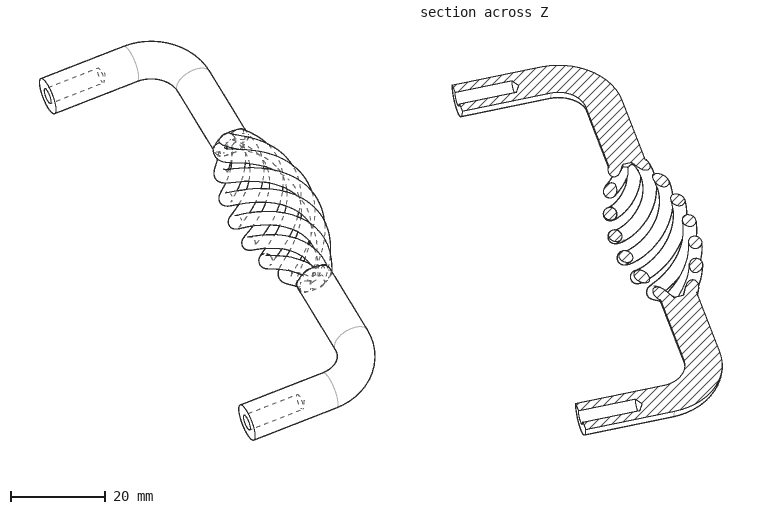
import cadquery as cq
import math

overall_length = 104.0
bar_diameter = 8.0
bar_radius = bar_diameter / 2
half_span = overall_length / 2 - bar_radius
bend_radius = 10.0

cage_length = 39.9
cage_radius = 9.6
wire_radius = 1.5
wire_count = 6
twist_lead = 38.5
twist_offset = -0.5
wire_overrun = 1.6
spline_spans = 12

overall_depth = 39.0
leg_end = cage_radius - overall_depth

hole_diameter = 3.3
hole_depth = 12.5
drill_tip_angle = 118.0


def screw_hole():
    """Blind drilled hole along +Y with a conical bottom."""
    hole_radius = hole_diameter / 2
    tip_length = hole_radius / math.tan(math.radians(drill_tip_angle / 2))
    return (
        cq.Workplane("XY")
        .lineTo(hole_radius, 0)
        .lineTo(hole_radius, hole_depth)
        .lineTo(0, hole_depth + tip_length)
        .close()
        .revolve(360, (0, 0, 0), (0, 1, 0))
    )


def bar_half(side):
    """Sweep one half of the bar, from its leg end to the edge of the cage."""
    corner_y = -bend_radius
    bend_x = half_span - bend_radius
    middle = bend_radius * math.sqrt(0.5)
    path = (
        cq.Workplane("XY")
        .moveTo(side * half_span, leg_end)
        .lineTo(side * half_span, corner_y)
        .threePointArc((side * (bend_x + middle), corner_y + middle), (side * bend_x, 0))
        .lineTo(side * cage_length / 2, 0)
    )
    bar = cq.Workplane("XZ", origin=(side * half_span, leg_end, 0)).circle(bar_radius).sweep(path)
    return bar.cut(screw_hole().translate((side * half_span, leg_end, 0)))


def wire_point(x):
    """Point on a wire's centre line: a helix whose radius bulges as a parabola."""
    end_radius = bar_radius - wire_radius
    bulge = cage_radius - bar_radius
    radius = end_radius + bulge * (1 - (2 * x / cage_length) ** 2)
    angle = -2 * math.pi * (x - twist_offset) / twist_lead
    return cq.Vector(x, radius * math.cos(angle), radius * math.sin(angle))


def cage_wire():
    """Sweep a round wire along its bulging helix."""
    reach = cage_length / 2 + wire_overrun
    step = 2 * reach / spline_spans
    points = [wire_point(-reach + i * step) for i in range(spline_spans + 1)]
    centre_line = cq.Edge.makeSpline(points)
    start = cq.Plane(origin=points[0], normal=centre_line.tangentAt(0))
    return cq.Workplane(start).circle(wire_radius).sweep(cq.Workplane(obj=centre_line), isFrenet=True)


def cage():
    """Join evenly spaced copies of the wire and trim them flat at the cage ends."""
    wire = cage_wire()
    wires = wire
    for i in range(1, wire_count):
        turned_wire = wire.rotate((0, 0, 0), (1, 0, 0), 360 * i / wire_count)
        wires = wires.union(turned_wire, clean=False)
    envelope_width = 3 * cage_radius
    envelope = cq.Workplane("XY").box(cage_length, envelope_width, envelope_width)
    return wires.intersect(envelope, clean=False)


result = cage()
for side in (-1, 1):
    result = result.union(bar_half(side), clean=False)
result = cq.Workplane(obj=result.solids().val())